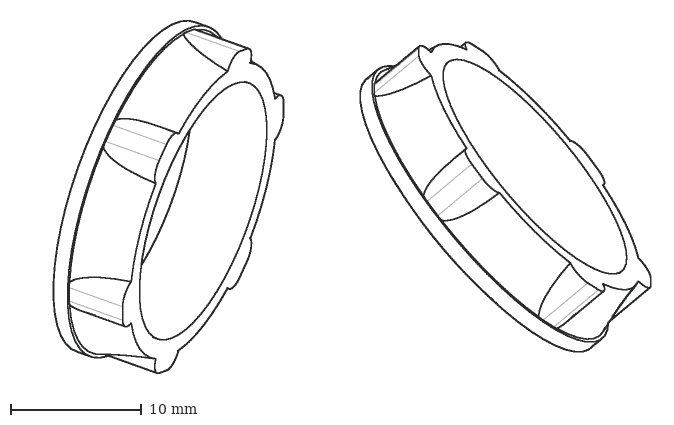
import cadquery as cq

bore_radius = 20.8 / 2
spigot_radius = 22.6 / 2
flange_radius = 26.8 / 2
spigot_length = 0.65
flange_end = 1.88
total_length = 6.5

grip_start_radius = 13.1
grip_middle_radius = 12.44
grip_end_radius = 11.93

lug_count = 6
lug_crest_radius = 13.13
crest_half_width = 0.7
shoulder_radius = 1.45
lug_root_radius = (bore_radius + spigot_radius) / 2


def make_ring():
    """Revolve the spigot, flange and grip as one profile about X."""
    grip_middle = (flange_end + total_length) / 2
    return (
        cq.Workplane("XY")
        .moveTo(0, bore_radius)
        .lineTo(0, spigot_radius)
        .lineTo(spigot_length, spigot_radius)
        .lineTo(spigot_length, flange_radius)
        .lineTo(flange_end, flange_radius)
        .lineTo(flange_end, grip_start_radius)
        .threePointArc((grip_middle, grip_middle_radius), (total_length, grip_end_radius))
        .lineTo(total_length, bore_radius)
        .close()
        .revolve(360, (0, 0, 0), (1, 0, 0))
    )


def make_lug():
    """Make the lug on the +Y side, from the flange to the end of the grip."""
    half_width = crest_half_width + shoulder_radius
    shoulder_base = lug_crest_radius - shoulder_radius
    return (
        cq.Workplane("YZ", origin=(flange_end, 0, 0))
        .moveTo(lug_root_radius, -half_width)
        .lineTo(shoulder_base, -half_width)
        .radiusArc((lug_crest_radius, -crest_half_width), -shoulder_radius)
        .lineTo(lug_crest_radius, crest_half_width)
        .radiusArc((shoulder_base, half_width), -shoulder_radius)
        .lineTo(lug_root_radius, half_width)
        .close()
        .extrude(total_length - flange_end)
    )


result = make_ring()
lug = make_lug()
for index in range(lug_count):
    result = result.union(lug.rotate((0, 0, 0), (1, 0, 0), index * 360 / lug_count))